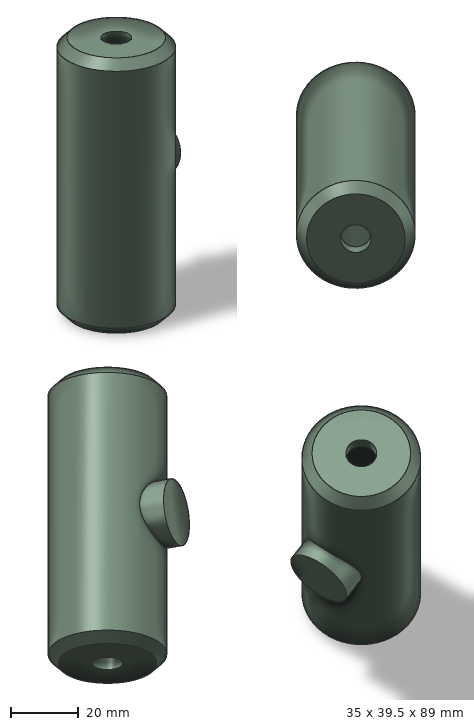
import cadquery as cq

body_diameter = 35.0
body_height = 89.0
end_chamfer = 3.0

wall_thickness = 4.0
cavity_diameter = body_diameter - 2 * wall_thickness
cavity_height = body_height - 2 * wall_thickness

hole_diameter = 9.0

boss_diameter = 20.0
boss_reach = 22.0
boss_height = 45.0


def make_body():
    body = cq.Workplane("XY").circle(body_diameter / 2).extrude(body_height)
    return body.faces("<Z or >Z").chamfer(end_chamfer)


def make_boss():
    boss_plane = cq.Workplane("XZ", origin=(0, 0, boss_height))
    return boss_plane.circle(boss_diameter / 2).extrude(-boss_reach)


def make_cavity():
    cavity_floor = cq.Workplane("XY", origin=(0, 0, wall_thickness))
    return cavity_floor.circle(cavity_diameter / 2).extrude(cavity_height)


def make_axial_hole():
    return cq.Workplane("XY").circle(hole_diameter / 2).extrude(body_height)


result = make_body().union(make_boss()).cut(make_cavity()).cut(make_axial_hole())